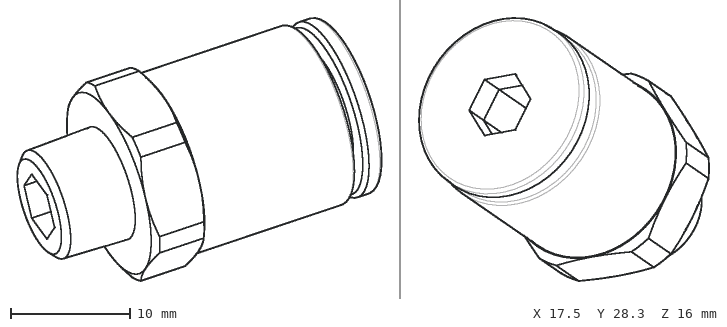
import cadquery as cq
import math

total_length = 28.3
thread_length = 6.5
nut_length = 5.0
barrel_length = 14.12
collar_gap = 0.95
nut_back = thread_length + nut_length
barrel_back = nut_back + barrel_length
flange_front = barrel_back + collar_gap

nut_across_flats = 16.0
nut_corner_diameter = 17.5
nut_chamfer_angle = 30.0

barrel_radius = 7.92
barrel_rounding = 0.23

gauge_radius = 4.87
gauge_station = 3.03
thread_slope = 1 / 32
tip_radius = 4.2
tip_chamfer_length = 0.57

key_across_flats = 5.0

flange_radius = 7.75
flange_rounding = 0.3
flange_front_chamfer = 0.4
neck_radius = 5.6


def revolve_profile(points):
    """Solid of revolution about Y from (radius, station) points."""
    return cq.Workplane("XY").polyline(points).close().revolve(360, (0, 0), (0, 1))


def hex_prism(across_flats, start, length):
    """Hexagonal prism along Y with two flats facing up and down."""
    corner_diameter = across_flats / math.cos(math.pi / 6)
    plane = cq.Plane(origin=(0, start, 0), xDir=(1, 0, 0), normal=(0, 1, 0))
    return cq.Workplane(plane).polygon(6, corner_diameter).extrude(length)


def thread_radius(station):
    """Radius of the tapered thread cone at a station."""
    return gauge_radius + thread_slope * (station - gauge_station)


def make_nut():
    """Hexagon with turned corners and both ends chamfered."""
    face_radius = nut_across_flats / 2
    corner_radius = nut_corner_diameter / 2
    chamfer_length = (corner_radius - face_radius) * math.tan(math.radians(nut_chamfer_angle))
    turned_blank = revolve_profile([
        (0, thread_length),
        (face_radius, thread_length),
        (corner_radius, thread_length + chamfer_length),
        (corner_radius, nut_back - chamfer_length),
        (face_radius, nut_back),
        (0, nut_back),
    ])
    return hex_prism(nut_across_flats, thread_length, nut_length).intersect(turned_blank)


def make_thread():
    """Tapered stub with a chamfered tip."""
    return revolve_profile([
        (0, 0),
        (tip_radius, 0),
        (thread_radius(tip_chamfer_length), tip_chamfer_length),
        (thread_radius(thread_length), thread_length),
        (0, thread_length),
    ])


def make_barrel():
    """Cylinder behind the nut with a rounded rear edge."""
    barrel = revolve_profile([
        (0, nut_back),
        (barrel_radius, nut_back),
        (barrel_radius, barrel_back),
        (0, barrel_back),
    ])
    return barrel.faces(">Y").edges().fillet(barrel_rounding)


def make_housing():
    """Threaded stub, nut and barrel in one piece with a hexagonal passage."""
    blank = make_thread().union(make_nut()).union(make_barrel())
    return blank.cut(hex_prism(key_across_flats, 0, barrel_back))


def make_collar():
    """Flanged release collar seated on the rear face of the barrel."""
    blank = revolve_profile([
        (0, barrel_back),
        (neck_radius, barrel_back),
        (neck_radius, flange_front),
        (flange_radius - flange_front_chamfer, flange_front),
        (flange_radius, flange_front + flange_front_chamfer),
        (flange_radius, total_length),
        (0, total_length),
    ])
    blank = blank.faces(">Y").edges().fillet(flange_rounding)
    return blank.cut(hex_prism(key_across_flats, barrel_back, total_length - barrel_back))


housing = make_housing()
collar = make_collar()

result = cq.Compound.makeCompound([housing.val(), collar.val()])